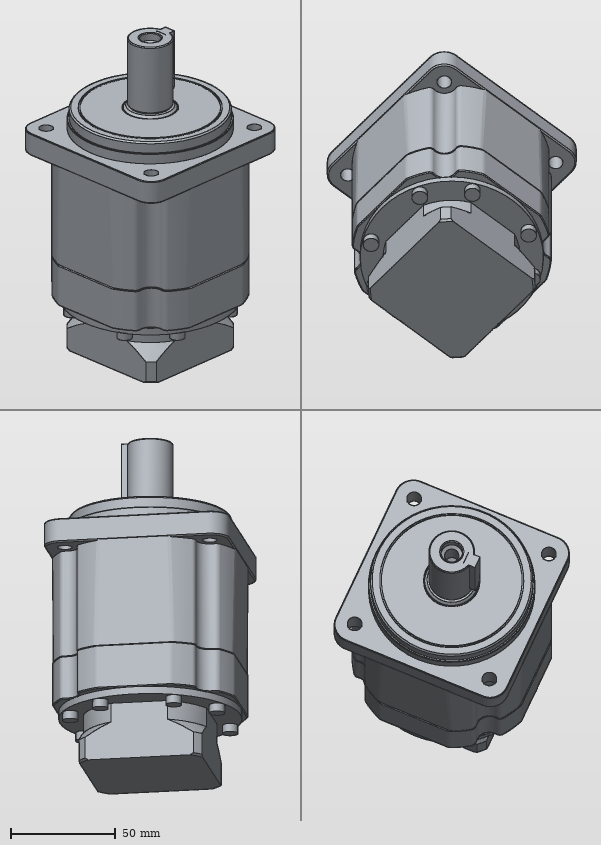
import cadquery as cq
import math

Z_CONE_BOTTOM = 11.4
Z_PLATE_BOTTOM = 27.7
Z_LOWER_BODY = 31.3
Z_UPPER_BODY = 52.9
Z_FLANGE = 105.2
Z_FLANGE_TOP = 117.0
Z_RIM_STEP = 122.3
Z_PILOT_TOP = 128.0
Z_SHAFT_TOP = 165.0

ADAPTER_SIDE = 60.0
ADAPTER_NECK_RADIUS = 33.0
ADAPTER_CORNER_RADIUS = 40.0
ADAPTER_CHAMFER = 1.0
Z_CONE_TOP = Z_CONE_BOTTOM + ADAPTER_CORNER_RADIUS - ADAPTER_NECK_RADIUS

PLATE_RADIUS = 44.0
SCREW_CIRCLE_RADIUS = 40.0
SCREW_ANGLE = math.degrees(math.atan(0.5))
SCREW_HEAD_RADIUS = 3.75
SCREW_HEAD_HEIGHT = 4.0

HOUSING_RADIUS = 48.0
LOWER_BODY_SIDE = 89.0
LOWER_BODY_CHAMFER = 0.5
UPPER_BODY_BOTTOM_SIDE = 88.0
UPPER_BODY_TOP_SIDE = 89.6
HOUSING_EDGE_FILLET = 4.5
BOLT_GROOVE_RADIUS = 6.5
BOLT_GROOVE_FILLET = 3.0

FLANGE_SIDE = 90.0
FLANGE_CORNER_RADIUS = 9.0
FLANGE_TOP_CHAMFER = 0.4
FLANGE_BOTTOM_CHAMFER = 0.7
Z_UPPER_BODY_TOP = Z_FLANGE + FLANGE_BOTTOM_CHAMFER
BOLT_CIRCLE_DIAMETER = 100.0
BOLT_HOLE_DIAMETER = 7.0
BOLT_PITCH = BOLT_CIRCLE_DIAMETER / math.sqrt(2)

RIM_RADIUS = 40.0
PILOT_RADIUS = 39.0
PILOT_CHAMFER = 0.8
RIM_CHAMFER = 0.3
FACE_GROOVE_OUTER_RADIUS = 34.6
FACE_GROOVE_INNER_RADIUS = 33.8
FACE_GROOVE_DEPTH = 0.5
SHAFT_RECESS_RADIUS = 13.5
SHAFT_RECESS_DEPTH = 1.0

SHOULDER_RADIUS = 13.0
SHOULDER_CHAMFER = 1.2
SHAFT_RADIUS = 11.0
SHAFT_TOP_CHAMFER = 0.5
SHAFT_NECK_RADIUS = 10.2
Z_SHAFT_NECK = 130.2
CENTRE_MOUTH_RADIUS = 5.8
CENTRE_BORE_RADIUS = 5.2
CENTRE_BORE_DEPTH = 4.0
CENTRE_DRILL_RADIUS = 3.4
CENTRE_DRILL_DEPTH = 16.0
CENTRE_CONE_ANGLE = 120.0

KEY_WIDTH = 6.0
KEY_HEIGHT = 6.0
KEY_LENGTH = 32.0
KEYWAY_FLOOR = 7.5
KEY_CLEARANCE = 0.05


def disc(radius, bottom, top):
    return cq.Workplane("XY").workplane(offset=bottom).circle(radius).extrude(top - bottom)


def square_prism(side, bottom, top):
    return cq.Workplane("XY").workplane(offset=bottom).rect(side, side).extrude(top - bottom)


def tapered_prism(bottom_side, top_side, bottom, top):
    return (
        cq.Workplane("XY")
        .workplane(offset=bottom)
        .rect(bottom_side, bottom_side)
        .workplane(offset=top - bottom)
        .rect(top_side, top_side)
        .loft(ruled=True)
    )


def make_adapter():
    neck = disc(ADAPTER_NECK_RADIUS, Z_CONE_TOP, Z_PLATE_BOTTOM)
    turned = (
        cq.Workplane("XZ")
        .lineTo(ADAPTER_CORNER_RADIUS - ADAPTER_CHAMFER, 0)
        .lineTo(ADAPTER_CORNER_RADIUS, ADAPTER_CHAMFER)
        .lineTo(ADAPTER_CORNER_RADIUS, Z_CONE_BOTTOM)
        .lineTo(ADAPTER_NECK_RADIUS, Z_CONE_TOP)
        .lineTo(0, Z_CONE_TOP)
        .close()
        .revolve(360, (0, 0), (0, 1))
    )
    square = square_prism(ADAPTER_SIDE, 0, Z_PLATE_BOTTOM)
    return turned.union(neck).intersect(square)


def make_screw_heads():
    angles = [quarter + side * SCREW_ANGLE for quarter in range(0, 360, 90) for side in (-1, 1)]
    centres = [
        (
            SCREW_CIRCLE_RADIUS * math.cos(math.radians(angle)),
            SCREW_CIRCLE_RADIUS * math.sin(math.radians(angle)),
        )
        for angle in angles
    ]
    return (
        cq.Workplane("XY")
        .workplane(offset=Z_PLATE_BOTTOM - SCREW_HEAD_HEIGHT)
        .pushPoints(centres)
        .circle(SCREW_HEAD_RADIUS)
        .extrude(SCREW_HEAD_HEIGHT)
    )


def make_housing_section(bottom_side, top_side, bottom, top):
    grooves = (
        cq.Workplane("XY")
        .workplane(offset=bottom)
        .rect(BOLT_PITCH, BOLT_PITCH, forConstruction=True)
        .vertices()
        .circle(BOLT_GROOVE_RADIUS)
        .extrude(top - bottom)
    )
    grooved = disc(HOUSING_RADIUS, bottom, top).rotate((0, 0, 0), (0, 0, 1), 45).cut(grooves)
    grooved = grooved.edges("|Z").fillet(BOLT_GROOVE_FILLET)

    section = grooved.intersect(tapered_prism(bottom_side, top_side, bottom, top))

    flat_distance = (bottom_side + top_side) / 4
    edge_offset = math.sqrt(HOUSING_RADIUS**2 - flat_distance**2)
    middle = (bottom + top) / 2
    for x, y in ((flat_distance, edge_offset), (edge_offset, flat_distance)):
        for x_sign in (-1, 1):
            for y_sign in (-1, 1):
                edge = cq.NearestToPointSelector((x_sign * x, y_sign * y, middle))
                section = section.edges(edge).fillet(HOUSING_EDGE_FILLET)
    return section


def make_flange():
    plate = square_prism(FLANGE_SIDE, Z_FLANGE, Z_FLANGE_TOP).edges("|Z").fillet(FLANGE_CORNER_RADIUS)
    return (
        plate.faces(">Z")
        .chamfer(FLANGE_TOP_CHAMFER)
        .faces("<Z")
        .chamfer(FLANGE_BOTTOM_CHAMFER)
        .faces(">Z")
        .workplane()
        .rect(BOLT_PITCH, BOLT_PITCH, forConstruction=True)
        .vertices()
        .hole(BOLT_HOLE_DIAMETER)
    )


def make_pilot():
    rim = disc(RIM_RADIUS, Z_FLANGE_TOP, Z_RIM_STEP).faces(">Z").chamfer(RIM_CHAMFER)
    pilot = disc(PILOT_RADIUS, Z_RIM_STEP, Z_PILOT_TOP).faces(">Z").chamfer(PILOT_CHAMFER)
    groove_floor = Z_PILOT_TOP - FACE_GROOVE_DEPTH
    groove = disc(FACE_GROOVE_OUTER_RADIUS, groove_floor, Z_PILOT_TOP).cut(
        disc(FACE_GROOVE_INNER_RADIUS, groove_floor, Z_PILOT_TOP)
    )
    recess = disc(SHAFT_RECESS_RADIUS, Z_PILOT_TOP - SHAFT_RECESS_DEPTH, Z_PILOT_TOP)
    return rim.union(pilot).cut(groove).cut(recess)


def make_shaft():
    """Shoulder, relief neck and shaft turned as one profile, less the centre hole."""
    z_shoulder_top = Z_PILOT_TOP + SHOULDER_CHAMFER
    turned = (
        cq.Workplane("XZ")
        .moveTo(0, Z_PILOT_TOP - SHAFT_RECESS_DEPTH)
        .lineTo(SHOULDER_RADIUS, Z_PILOT_TOP - SHAFT_RECESS_DEPTH)
        .lineTo(SHOULDER_RADIUS, Z_PILOT_TOP)
        .lineTo(SHOULDER_RADIUS - SHOULDER_CHAMFER, z_shoulder_top)
        .lineTo(SHAFT_NECK_RADIUS, z_shoulder_top)
        .lineTo(SHAFT_RADIUS, Z_SHAFT_NECK)
        .lineTo(SHAFT_RADIUS, Z_SHAFT_TOP - SHAFT_TOP_CHAMFER)
        .lineTo(SHAFT_RADIUS - SHAFT_TOP_CHAMFER, Z_SHAFT_TOP)
        .lineTo(0, Z_SHAFT_TOP)
        .close()
        .revolve(360, (0, 0), (0, 1))
    )
    cone_rise = 1 / math.tan(math.radians(CENTRE_CONE_ANGLE / 2))
    mouth_depth = (CENTRE_MOUTH_RADIUS - CENTRE_BORE_RADIUS) * cone_rise
    seat_depth = (CENTRE_BORE_RADIUS - CENTRE_DRILL_RADIUS) * cone_rise
    tip_depth = CENTRE_DRILL_RADIUS * cone_rise
    centre_hole = (
        cq.Workplane("XZ")
        .moveTo(0, Z_SHAFT_TOP)
        .lineTo(CENTRE_MOUTH_RADIUS, Z_SHAFT_TOP)
        .lineTo(CENTRE_BORE_RADIUS, Z_SHAFT_TOP - mouth_depth)
        .lineTo(CENTRE_BORE_RADIUS, Z_SHAFT_TOP - CENTRE_BORE_DEPTH)
        .lineTo(CENTRE_DRILL_RADIUS, Z_SHAFT_TOP - CENTRE_BORE_DEPTH - seat_depth)
        .lineTo(CENTRE_DRILL_RADIUS, Z_SHAFT_TOP - CENTRE_DRILL_DEPTH)
        .lineTo(0, Z_SHAFT_TOP - CENTRE_DRILL_DEPTH - tip_depth)
        .close()
        .revolve(360, (0, 0), (0, 1))
    )
    return turned.cut(centre_hole)


def key_prism(bottom, height):
    round_radius = KEY_WIDTH / 2
    z_round = Z_SHAFT_TOP - KEY_LENGTH + round_radius
    return (
        cq.Workplane("XZ", origin=(0, bottom, 0))
        .moveTo(round_radius, Z_SHAFT_TOP)
        .lineTo(-round_radius, Z_SHAFT_TOP)
        .lineTo(-round_radius, z_round)
        .threePointArc((0, z_round - round_radius), (round_radius, z_round))
        .close()
        .extrude(-height)
    )


def make_keyed_shaft():
    """The key is one with the shaft and leaves a thin gap over the keyway floor."""
    gap = key_prism(KEYWAY_FLOOR, KEY_CLEARANCE)
    key = key_prism(KEYWAY_FLOOR + KEY_CLEARANCE, KEY_HEIGHT - KEY_CLEARANCE)
    return make_shaft().union(key).cut(gap)


lower_body = make_housing_section(LOWER_BODY_SIDE, LOWER_BODY_SIDE, Z_LOWER_BODY, Z_UPPER_BODY)
lower_body = lower_body.faces("<Z or >Z").chamfer(LOWER_BODY_CHAMFER)
upper_body = make_housing_section(UPPER_BODY_BOTTOM_SIDE, UPPER_BODY_TOP_SIDE, Z_UPPER_BODY, Z_UPPER_BODY_TOP)

gearbox = (
    make_adapter()
    .union(disc(PLATE_RADIUS, Z_PLATE_BOTTOM, Z_LOWER_BODY))
    .union(make_screw_heads())
    .union(lower_body)
    .union(upper_body)
    .union(make_flange())
    .union(make_pilot())
)
shaft = make_keyed_shaft()

result = cq.Compound.makeCompound([gearbox.val(), shaft.val()])